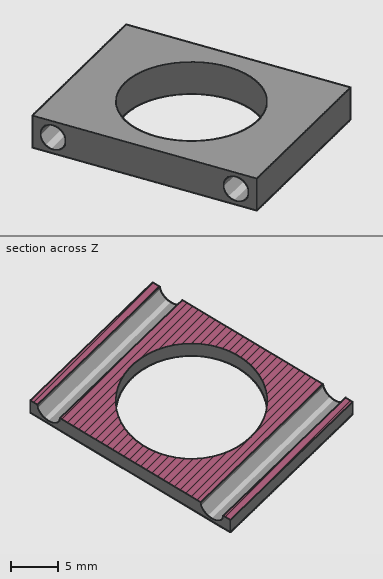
import cadquery as cq

length = 27.0
width = 21.0
thickness = 4.0

bore_diameter = 16.0

side_hole_diameter = 3.0
side_hole_spacing = 22.0

plate = cq.Workplane("XY").box(length, width, thickness)

bored_plate = plate.faces(">Z").workplane().hole(bore_diameter)

result = (
    bored_plate.faces("<Y")
    .workplane(centerOption="CenterOfBoundBox")
    .rarray(side_hole_spacing, 0.27, 2, 1)
    .hole(side_hole_diameter)
)